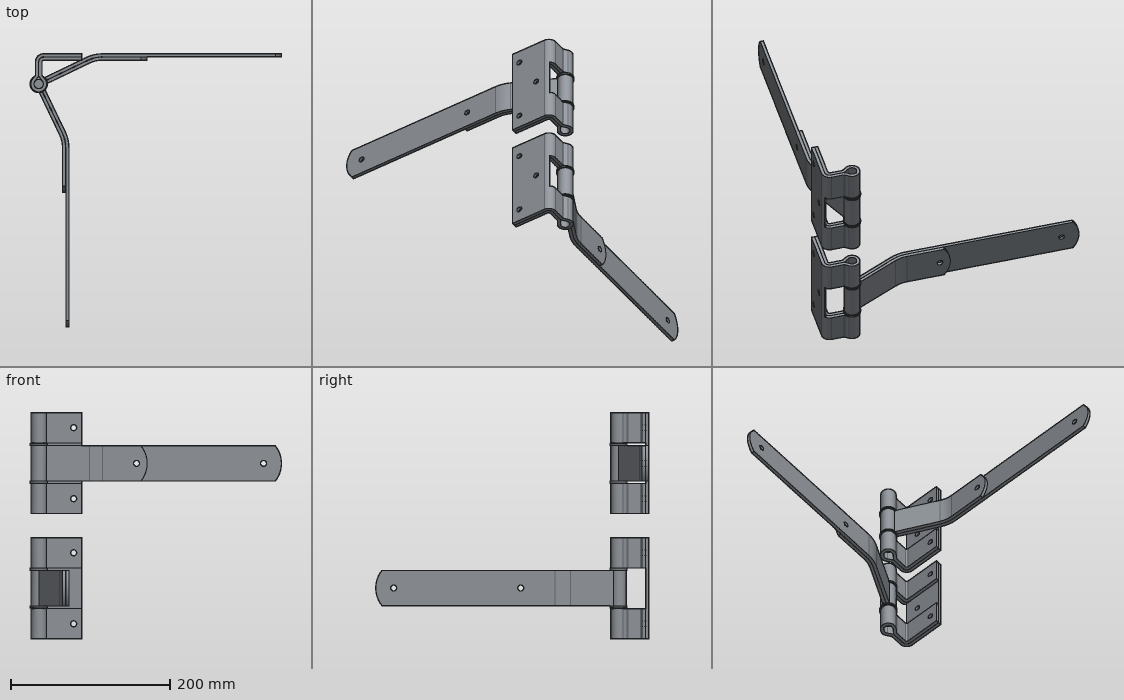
import math
import cadquery as cq

SHEET = 4.0
FOLD_GAP = 0.07
KNUCKLE_RADIUS = 10.0
BORE_RADIUS = KNUCKLE_RADIUS - SHEET
BACK_Y = 38.0
SEAM_Y = BACK_Y - SHEET - FOLD_GAP / 2
HOLE_DIAMETER = 7.2
CUT_REACH = 343

BRACKET_HEIGHT = 127.0
BRACKET_PITCH = 157.0
BRACKET_END_X = 54.2
BRACKET_SEAM_BEND = 6.2
BRACKET_HOLE_X = 44.0
BRACKET_HOLE_SPACING = 89.2
WINDOW_HOLE_X = 18.5
NECK_HALF_ANGLE = 36
NECK_FILLET = 2.0
WINDOW_HEIGHT = 50.8

STRAP_HEIGHT = 44.5
STRAP_ANGLE = 25.7
STRAP_SEAM_BEND = 41.0
STRAP_LONG_END = 305.0
STRAP_SHORT_END = 136.2
STRAP_TIP_DEPTH = 8.0
STRAP_HOLES_X = (122.8, 282.5)

COLLAR_RADIUS = 11.0
COLLAR_HEIGHT = 2.7
PIN_RECESS = 13.7

PLAY = WINDOW_HEIGHT - STRAP_HEIGHT - 2 * COLLAR_HEIGHT


def cylinder(radius, height):
    """Vertical cylinder centred on the hinge axis and on the hinge middle."""
    return cq.Workplane("XY").circle(radius).extrude(height / 2, both=True)


def bent_layer(arm_angle, seam_bend, end_x, near, far, height):
    """Sheet layer that leaves the hinge axis at arm_angle and bends to run along +X.

    near and far are offsets from the seam, positive toward the back.
    """
    arm = math.radians(arm_angle)
    centre_y = SEAM_Y - seam_bend
    centre_x = (seam_bend + centre_y * math.cos(arm)) / math.sin(arm)

    def arm_start(offset):
        return (-offset * math.sin(arm) + BORE_RADIUS * math.cos(arm),
                offset * math.cos(arm) + BORE_RADIUS * math.sin(arm))

    def bend_point(offset, share):
        turn = math.pi / 2 + arm * (1 - share)
        radius = seam_bend + offset
        return (centre_x + radius * math.cos(turn), centre_y + radius * math.sin(turn))

    return (
        cq.Workplane("XY")
        .moveTo(*arm_start(near))
        .lineTo(*bend_point(near, 0))
        .threePointArc(bend_point(near, 0.5), bend_point(near, 1))
        .lineTo(end_x, SEAM_Y + near)
        .lineTo(end_x, SEAM_Y + far)
        .lineTo(*bend_point(far, 1))
        .threePointArc(bend_point(far, 0.5), bend_point(far, 0))
        .lineTo(*arm_start(far))
        .close()
        .extrude(height / 2, both=True)
    )


def back_layer(arm_angle, seam_bend, end_x, height):
    """Layer on the back side of the seam."""
    return bent_layer(arm_angle, seam_bend, end_x, FOLD_GAP / 2, FOLD_GAP / 2 + SHEET, height)


def front_layer(arm_angle, seam_bend, end_x, height):
    """Layer on the front side of the seam."""
    return bent_layer(arm_angle, seam_bend, end_x, -FOLD_GAP / 2 - SHEET, -FOLD_GAP / 2, height)


def fold_slit(arm_angle, height):
    """Gap between the two layers where they leave the knuckle."""
    length = 2 * KNUCKLE_RADIUS
    return (
        cq.Workplane("XY")
        .rect(length, FOLD_GAP)
        .extrude(height / 2, both=True)
        .translate((length / 2, 0, 0))
        .rotate((0, 0, 0), (0, 0, 1), arm_angle)
    )


def neck_top_y(radius, half_width):
    """Height at which the sides of the neck wedge come in to half_width."""
    lean = math.radians(NECK_HALF_ANGLE)
    return radius / math.sin(lean) - half_width / math.tan(lean)


def neck_wedge(radius, half_width, height):
    """Wedge toward +Y with sides tangent to a circle, ended at half_width."""
    lean = math.radians(NECK_HALF_ANGLE)
    tangent_x = radius * math.cos(lean)
    tangent_y = radius * math.sin(lean)
    top_y = neck_top_y(radius, half_width)
    return (
        cq.Workplane("XY")
        .polyline([(0, 0), (tangent_x, tangent_y), (half_width, top_y),
                   (-half_width, top_y), (-tangent_x, tangent_y)])
        .close()
        .extrude(height / 2, both=True)
    )


def cross_holes(places):
    """Round holes along Y at (x, z) places."""
    return (
        cq.Workplane("XZ")
        .pushPoints(places)
        .circle(HOLE_DIAMETER / 2)
        .extrude(CUT_REACH, both=True)
    )


def make_bracket():
    """Sheet folded round the pin, with both layers bent to a wall plate."""
    bend = (90, BRACKET_SEAM_BEND, BRACKET_END_X, BRACKET_HEIGHT)
    leaf_half = SHEET + FOLD_GAP / 2
    knuckle = (
        cylinder(KNUCKLE_RADIUS, BRACKET_HEIGHT)
        .union(neck_wedge(KNUCKLE_RADIUS, leaf_half, BRACKET_HEIGHT))
        .cut(fold_slit(90, BRACKET_HEIGHT))
    )
    neck_y = neck_top_y(KNUCKLE_RADIUS, leaf_half)
    neck_corners = cq.selectors.BoxSelector(
        (-leaf_half - FOLD_GAP, neck_y - FOLD_GAP, -BRACKET_HEIGHT),
        (leaf_half + FOLD_GAP, neck_y + FOLD_GAP, BRACKET_HEIGHT),
    )
    bracket = (
        knuckle
        .union(back_layer(*bend))
        .union(front_layer(*bend))
        .edges("|Z")
        .edges(neck_corners)
        .fillet(NECK_FILLET)
        .cut(cylinder(BORE_RADIUS, BRACKET_HEIGHT))
        .cut(neck_wedge(BORE_RADIUS, FOLD_GAP / 2, BRACKET_HEIGHT))
    )

    window = cq.Workplane("XY").box(CUT_REACH, CUT_REACH, WINDOW_HEIGHT)
    back_plate_y = BACK_Y - SHEET
    kept_plate = cq.Workplane("XY").box(
        CUT_REACH, CUT_REACH, WINDOW_HEIGHT, centered=(False, False, True)
    ).translate((0, back_plate_y, 0))
    bracket = bracket.cut(window.cut(kept_plate))

    holes = [(BRACKET_HOLE_X, side * BRACKET_HOLE_SPACING / 2) for side in (-1, 1)]
    holes.append((WINDOW_HOLE_X, 0))
    return bracket.cut(cross_holes(holes))


def rounded_tip(end_x):
    """Block reaching to end_x, with its end rounded across the strap height."""
    half = STRAP_HEIGHT / 2
    return (
        cq.Workplane("XZ")
        .moveTo(0, -half)
        .lineTo(end_x - STRAP_TIP_DEPTH, -half)
        .threePointArc((end_x, 0), (end_x - STRAP_TIP_DEPTH, half))
        .lineTo(0, half)
        .close()
        .extrude(CUT_REACH, both=True)
    )


def make_strap():
    """Cranked strap folded round the pin, with a long back and a short front layer."""
    bend = (STRAP_ANGLE, STRAP_SEAM_BEND)
    long_layer = back_layer(*bend, STRAP_LONG_END, STRAP_HEIGHT).intersect(rounded_tip(STRAP_LONG_END))
    short_layer = front_layer(*bend, STRAP_SHORT_END, STRAP_HEIGHT).intersect(rounded_tip(STRAP_SHORT_END))
    return (
        cylinder(KNUCKLE_RADIUS, STRAP_HEIGHT)
        .cut(fold_slit(STRAP_ANGLE, STRAP_HEIGHT))
        .union(long_layer)
        .union(short_layer)
        .cut(cylinder(BORE_RADIUS, STRAP_HEIGHT))
        .cut(cross_holes([(x, 0) for x in STRAP_HOLES_X]))
    )


def make_pin(strap_shift):
    """Pin with a collar above and below the strap."""
    pin = cylinder(BORE_RADIUS, BRACKET_HEIGHT - 2 * PIN_RECESS)
    collar_offset = (STRAP_HEIGHT + COLLAR_HEIGHT) / 2
    for side in (-1, 1):
        collar = cylinder(COLLAR_RADIUS, COLLAR_HEIGHT)
        pin = pin.union(collar.translate((0, 0, strap_shift + side * collar_offset)))
    return pin


bodies = []
for level, strap_swing in ((1, 0), (-1, -90)):
    hinge_z = level * BRACKET_PITCH / 2
    strap_shift = -level * PLAY / 2
    bracket = make_bracket().translate((0, 0, hinge_z))
    strap = (
        make_strap()
        .rotate((0, 0, 0), (0, 0, 1), strap_swing)
        .translate((0, 0, hinge_z + strap_shift))
    )
    pin = make_pin(strap_shift).translate((0, 0, hinge_z))
    bodies += [body.solids().val() for body in (bracket, strap, pin)]

result = cq.Compound.makeCompound(bodies)